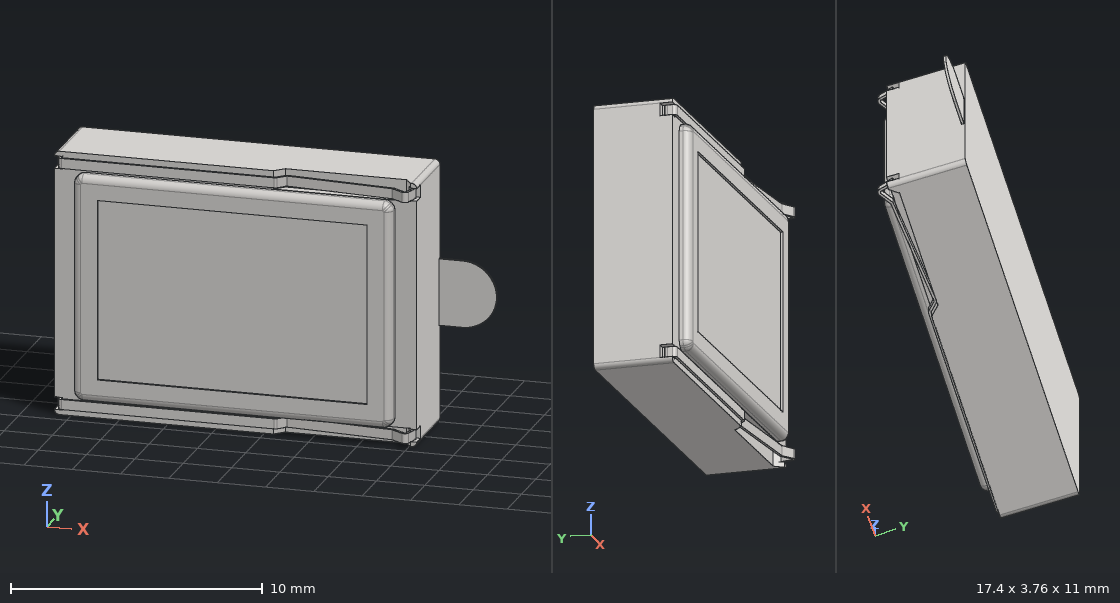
import cadquery as cq


total_length = 17.38
housing_length = 15.0
housing_depth = 3.28
housing_height = 11.0
housing_corner_radius = 0.2

bezel_side_margin = 0.9
bezel_end_margin = 0.78
bezel_rise = 0.47
bezel_corner_chamfer = 0.25
bezel_edge_radius = 0.31
window_length = 11.15
window_height = 7.49
window_depth = 0.1

tab_width = 2.78
tab_thickness = 0.1
tab_back_inset = 0.05

spring_width = 0.42
spring_thickness = 0.1
spring_bend_radius = 0.1
spring_edge_distance = 0.47
spring_z = housing_height / 2 - spring_edge_distance
spring_front_y = -spring_thickness / 2

hook_x = 0.23
hook_y = 0.36
hook_end_x = 0.35
step_start_x = 9.18
step_drop = 0.36
arm_end = (14.05, -0.07)
tip = (14.67, -0.49)
tail_end = (14.86, 0.25)
spring_path = [
    (hook_end_x, hook_y),
    (hook_x, hook_y),
    (hook_x, spring_front_y),
    (step_start_x, spring_front_y),
    (step_start_x + step_drop, spring_front_y + step_drop),
    arm_end,
    tip,
    tail_end,
]

pocket_start_x = 9.07
pocket_end_x = 14.74
pocket_depth = 0.38
pocket_height = 0.76
pocket_end_run = 0.28
notch_length = hook_end_x
notch_depth = 0.52
notch_height = 0.52


def box_between(x_range, y_range, z_range):
    """Box given by its lower and upper limit along each axis."""
    limits = (x_range, y_range, z_range)
    size = [high - low for low, high in limits]
    corner = [low for low, high in limits]
    return cq.Workplane("XY").box(*size, centered=False).translate(tuple(corner))


def centred_plate(length, height, y_front, y_back):
    """Plate centred on the housing's front face, from y_front to y_back."""
    return (
        cq.Workplane("XY")
        .box(length, y_back - y_front, height)
        .translate((housing_length / 2, (y_front + y_back) / 2, 0))
    )


def make_block():
    block = centred_plate(housing_length, housing_height, 0, housing_depth)
    return block.edges("|Y").fillet(housing_corner_radius)


def make_bezel():
    length = housing_length - 2 * bezel_side_margin
    height = housing_height - 2 * bezel_end_margin
    bezel = centred_plate(length, height, -bezel_rise, 0)
    bezel = bezel.edges("|Y").chamfer(bezel_corner_chamfer)
    bezel = bezel.edges("|Y or <Y").fillet(bezel_edge_radius)
    window = centred_plate(window_length, window_height, -bezel_rise, window_depth - bezel_rise)
    return bezel.cut(window)


def make_tab():
    """Thin tab on the right side with a full round end."""
    end_radius = tab_width / 2
    back_y = housing_depth - tab_back_inset
    return (
        cq.Workplane("XZ", origin=(0, back_y, 0))
        .moveTo(housing_length, -end_radius)
        .lineTo(total_length - end_radius, -end_radius)
        .threePointArc((total_length, 0), (total_length - end_radius, end_radius))
        .lineTo(housing_length, end_radius)
        .close()
        .extrude(tab_thickness)
    )


def make_pocket(side):
    """Slope-ended pocket open to the front and to the top (side 1) or bottom (side -1)."""
    return (
        cq.Workplane("XY", origin=(0, 0, side * housing_height / 2))
        .polyline([
            (pocket_start_x, 0),
            (pocket_start_x + pocket_depth, pocket_depth),
            (pocket_end_x - pocket_end_run, pocket_depth),
            (pocket_end_x, 0),
        ])
        .close()
        .extrude(-side * pocket_height)
    )


def make_notches(side):
    """Notches for the hook and the tail, open to the front and to the left or right side."""
    y_range = (0, notch_depth)
    z_range = (side * spring_z - notch_height / 2, side * spring_z + notch_height / 2)
    hook_notch = box_between((0, notch_length), y_range, z_range)
    tail_notch = box_between((housing_length - notch_length, housing_length), y_range, z_range)
    return hook_notch.add(tail_notch).combine()


def make_housing():
    housing = make_block().union(make_bezel()).union(make_tab())
    for side in (1, -1):
        housing = housing.cut(make_pocket(side)).cut(make_notches(side))
    return housing


def make_spring(side):
    """Bent strip of constant thickness, near the top (side 1) or the bottom (side -1)."""
    path = cq.Wire.makePolygon([cq.Vector(x, y, side * spring_z) for x, y in spring_path])
    bends = path.Vertices()[1:-1]
    path = path.fillet(spring_bend_radius, bends)
    return (
        cq.Workplane("YZ", origin=(hook_end_x, hook_y, side * spring_z))
        .rect(spring_thickness, spring_width)
        .sweep(cq.Workplane("XY").add(path))
    )


housing = make_housing()
springs = [make_spring(side) for side in (1, -1)]

result = cq.Compound.makeCompound([housing.val(), *[spring.val() for spring in springs]])